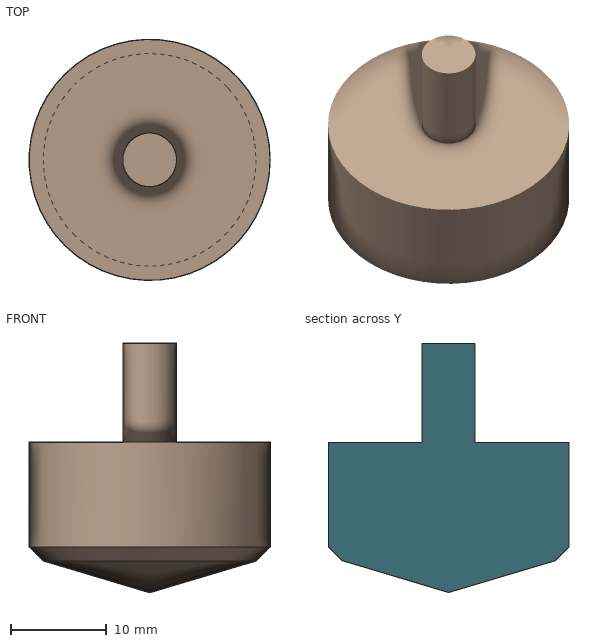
import cadquery as cq

total_height = 26.1
body_diameter = 25.2
pin_diameter = 5.6
pin_length = 10.35
chamfer_size = 1.5
tip_height = 3.31

body_radius = body_diameter / 2
pin_radius = pin_diameter / 2
tip_base_radius = body_radius - chamfer_size
chamfer_top = tip_height + chamfer_size
body_top = total_height - pin_length

half_section = (
    cq.Workplane("XZ")
    .moveTo(0, 0)
    .lineTo(tip_base_radius, tip_height)
    .lineTo(body_radius, chamfer_top)
    .lineTo(body_radius, body_top)
    .lineTo(pin_radius, body_top)
    .lineTo(pin_radius, total_height)
    .lineTo(0, total_height)
    .close()
)

result = half_section.revolve(360, (0, 0, 0), (0, 1, 0))